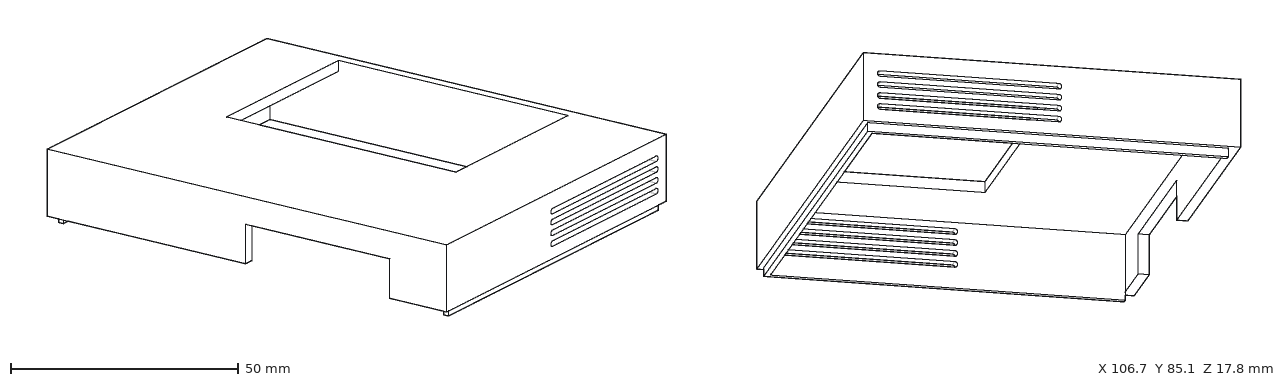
import cadquery as cq

LENGTH = 106.68
WIDTH = 85.09
HEIGHT = 17.75

WALL = 2.54
TOP_THICKNESS = WALL
LIP_HEIGHT = 2.0
LIP_THICKNESS = WALL / 2

WINDOW_LENGTH = 61.3
WINDOW_WIDTH = 43.4
WINDOW_FROM_LEFT = 20.9
WINDOW_FROM_BACK = WALL

NOTCH_LENGTH = 38.4
NOTCH_FROM_LEFT = 53.0
NOTCH_FROM_TOP = 6.5

SLOT_COUNT = 4
SLOT_LENGTH = 41.5
SLOT_HEIGHT = 1.27
SLOT_PITCH = 2.54
SLOT_FROM_BACK = 3.2
TOP_SLOT_FROM_TOP = 4.6

LEFT = -LENGTH / 2
FRONT = -WIDTH / 2
BACK = WIDTH / 2


def box(x, y, z, length, width, height):
    """Box with its left, front, bottom corner at (x, y, z)."""
    return cq.Workplane("XY").box(length, width, height, centered=False).translate((x, y, z))


def make_shell():
    """Open-bottomed box with the top plate and four walls."""
    outer = box(LEFT, FRONT, LIP_HEIGHT, LENGTH, WIDTH, HEIGHT - LIP_HEIGHT)
    return outer.cut(make_cavity())


def make_cavity():
    """Space inside the walls, from the bottom of the lip to the top plate."""
    return box(
        LEFT + WALL, FRONT + WALL, 0,
        LENGTH - 2 * WALL, WIDTH - 2 * WALL, HEIGHT - TOP_THICKNESS,
    )


def make_lip():
    """U-shaped lip continuing the inner half of the left, back and right walls."""
    inset = WALL - LIP_THICKNESS
    lip_front = FRONT + WALL
    lip = box(LEFT + inset, lip_front, 0, LENGTH - 2 * inset, BACK - inset - lip_front, LIP_HEIGHT)
    return lip.cut(make_cavity())


def make_window():
    """Rectangular opening through the top plate."""
    return box(
        LEFT + WINDOW_FROM_LEFT, BACK - WINDOW_FROM_BACK - WINDOW_WIDTH, HEIGHT - TOP_THICKNESS,
        WINDOW_LENGTH, WINDOW_WIDTH, TOP_THICKNESS,
    )


def make_notch():
    """Rectangular cutout through the front wall only."""
    return box(
        LEFT + NOTCH_FROM_LEFT, FRONT, LIP_HEIGHT,
        NOTCH_LENGTH, WALL, HEIGHT - NOTCH_FROM_TOP - LIP_HEIGHT,
    )


def make_vent_slots():
    """Stack of round-ended slots running through both side walls."""
    middle_y = BACK - SLOT_FROM_BACK - SLOT_LENGTH / 2
    top_z = HEIGHT - TOP_SLOT_FROM_TOP
    centres = [(middle_y, top_z - index * SLOT_PITCH) for index in range(SLOT_COUNT)]
    return (
        cq.Workplane("YZ", origin=(LEFT, 0, 0))
        .pushPoints(centres)
        .slot2D(SLOT_LENGTH, SLOT_HEIGHT)
        .extrude(LENGTH)
    )


result = (
    make_shell()
    .union(make_lip())
    .cut(make_window())
    .cut(make_notch())
    .cut(make_vent_slots())
)